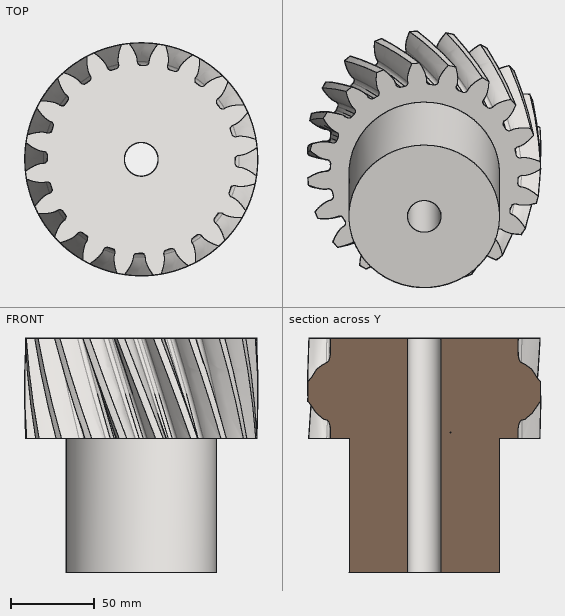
import math

import cadquery as cq

tooth_count = 20
normal_module = 6.0
transverse_pitch = 20.0
normal_pressure_angle = math.radians(20.0)
clearance_factor = 0.25
root_fillet_factor = 0.38
gear_width = 60.0

shaft_diameter = 90.0
shaft_length = 80.0
bore_diameter = 20.0

transverse_module = transverse_pitch / math.pi
helix_angle = math.acos(normal_module / transverse_module)
pressure_angle = math.atan(math.tan(normal_pressure_angle) / math.cos(helix_angle))
pitch_radius = tooth_count * transverse_module / 2
base_radius = pitch_radius * math.cos(pressure_angle)
tip_radius = pitch_radius + normal_module
root_radius = pitch_radius - (1 + clearance_factor) * normal_module
root_fillet_radius = root_fillet_factor * normal_module
angular_pitch = 2 * math.pi / tooth_count
twist_angle = gear_width * math.tan(helix_angle) / pitch_radius

total_length = shaft_length + gear_width
involute_points = 7


def polar(radius, angle):
    return (radius * math.cos(angle), radius * math.sin(angle))


def involute(angle):
    return math.tan(angle) - angle


def tooth_half_angle(radius):
    """Half of the angle that a tooth spans at a radius on its involute flank."""
    local_pressure_angle = math.acos(base_radius / radius)
    return angular_pitch / 4 + involute(pressure_angle) - involute(local_pressure_angle)


def gap_half_angle(radius):
    """Half of the angle that a tooth gap spans at a radius on its involute flank."""
    return angular_pitch / 2 - tooth_half_angle(radius)


def gap_side():
    """Upper half of the tooth gap centred on +X: flank points, fillet middle and fillet end on the root."""
    foot_angle = gap_half_angle(base_radius)

    fillet_centre_radius = root_radius + root_fillet_radius
    fillet_turn = math.asin(root_fillet_radius / fillet_centre_radius)
    fillet_centre_angle = foot_angle - fillet_turn
    fillet_top_radius = fillet_centre_radius * math.cos(fillet_turn)
    centre_x, centre_y = polar(fillet_centre_radius, fillet_centre_angle)
    towards_root = fillet_centre_angle + math.pi
    towards_flank = foot_angle + math.pi / 2
    offset_x, offset_y = polar(root_fillet_radius, (towards_root + towards_flank) / 2)
    fillet_middle = (centre_x + offset_x, centre_y + offset_y)
    fillet_end = polar(root_radius, fillet_centre_angle)

    flank = [polar(fillet_top_radius, foot_angle)]
    for index in range(involute_points):
        radius = base_radius + (tip_radius - base_radius) * index / (involute_points - 1)
        flank.append(polar(radius, gap_half_angle(radius)))
    return flank, fillet_middle, fillet_end


def rotated(point, angle):
    x, y = point
    return (
        x * math.cos(angle) - y * math.sin(angle),
        x * math.sin(angle) + y * math.cos(angle),
    )


def mirrored(point):
    return (point[0], -point[1])


def gear_outline():
    """Closed transverse outline of the gear, walked counter-clockwise from a tooth gap centred on +X."""
    flank, fillet_middle, fillet_end = gap_side()
    outline = cq.Workplane("XY").workplane(offset=shaft_length).moveTo(*mirrored(flank[-1]))
    for index in range(tooth_count):
        turn = index * angular_pitch
        upper_flank = [rotated(point, turn) for point in flank]
        lower_flank = [rotated(mirrored(point), turn) for point in reversed(flank)]
        next_tooth_edge = rotated(mirrored(flank[-1]), turn + angular_pitch)
        outline = (
            outline.spline(lower_flank[1:], includeCurrent=True)
            .threePointArc(rotated(mirrored(fillet_middle), turn), rotated(mirrored(fillet_end), turn))
            .threePointArc(polar(root_radius, turn), rotated(fillet_end, turn))
            .threePointArc(rotated(fillet_middle, turn), upper_flank[0])
            .spline(upper_flank[1:], includeCurrent=True)
            .threePointArc(polar(tip_radius, turn + angular_pitch / 2), next_tooth_edge)
        )
    return outline.close()


def make_gear():
    return gear_outline().twistExtrude(gear_width, -math.degrees(twist_angle))


def make_shaft():
    return cq.Workplane("XY").circle(shaft_diameter / 2).extrude(shaft_length)


def make_bore():
    return cq.Workplane("XY").circle(bore_diameter / 2).extrude(total_length)


result = make_gear().union(make_shaft()).cut(make_bore())